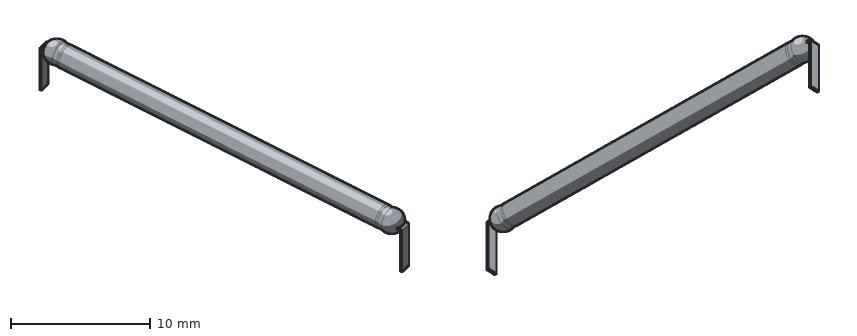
import cadquery as cq
import math

OVERALL_LENGTH = 32.0
OVERALL_HEIGHT = 5.15

TUBE_RADIUS = 1.85 / 2
BALL_RADIUS = 1.95 / 2
BALL_TIP_X = 15.75
WAIST_RADIUS = 0.9
SHOULDER_RADIUS = 1.28
TUBE_HALF_LENGTH = 13.95

STRIP_WIDTH = 0.85
STRIP_THICKNESS = 0.2
BEND_OUTER_RADIUS = STRIP_THICKNESS

LEAD_END_Z = BALL_RADIUS - OVERALL_HEIGHT


def make_lead_strip():
    """One flat strip that runs through the lamp and is bent down at both ends."""
    outer_x = OVERALL_LENGTH / 2
    inner_x = outer_x - STRIP_THICKNESS
    top_z = STRIP_THICKNESS / 2
    height = top_z - LEAD_END_Z
    inner_height = height - STRIP_THICKNESS

    def block(half_length, block_height):
        return (
            cq.Workplane("XY", origin=(0, 0, LEAD_END_Z))
            .box(2 * half_length, STRIP_WIDTH, block_height, centered=(True, True, False))
        )

    outside = block(outer_x, height).edges("|Y and >Z").fillet(BEND_OUTER_RADIUS)
    inside = block(inner_x, inner_height)
    return outside.cut(inside)


def make_envelope(lead_strip):
    """Round glass rod with ball ends, slotted for the strip that passes through it."""
    ball_x = BALL_TIP_X - BALL_RADIUS
    shoulder_z = TUBE_RADIUS - SHOULDER_RADIUS

    span = math.hypot(ball_x - TUBE_HALF_LENGTH, shoulder_z)
    to_ball = BALL_RADIUS + WAIST_RADIUS
    to_shoulder = SHOULDER_RADIUS + WAIST_RADIUS
    angle_at_ball = math.acos((to_ball**2 + span**2 - to_shoulder**2) / (2 * to_ball * span))
    shoulder_bearing = math.pi + math.atan2(-shoulder_z, ball_x - TUBE_HALF_LENGTH)
    waist_direction = shoulder_bearing - angle_at_ball
    waist_x = ball_x + to_ball * math.cos(waist_direction)
    waist_z = to_ball * math.sin(waist_direction)
    shoulder_direction = math.atan2(waist_z - shoulder_z, waist_x - TUBE_HALF_LENGTH)

    def on_ball(angle):
        return (ball_x + BALL_RADIUS * math.cos(angle), BALL_RADIUS * math.sin(angle))

    def on_shoulder(angle):
        return (
            TUBE_HALF_LENGTH + SHOULDER_RADIUS * math.cos(angle),
            shoulder_z + SHOULDER_RADIUS * math.sin(angle),
        )

    def mirrored(point):
        return (-point[0], point[1])

    shoulder_middle = on_shoulder((shoulder_direction + math.pi / 2) / 2)
    shoulder_end = on_shoulder(shoulder_direction)
    waist_middle = (waist_x, waist_z - WAIST_RADIUS)
    ball_start = on_ball(waist_direction)
    ball_middle = on_ball(waist_direction / 2)

    profile = (
        cq.Workplane("XZ")
        .moveTo(-BALL_TIP_X, 0)
        .threePointArc(mirrored(ball_middle), mirrored(ball_start))
        .threePointArc(mirrored(waist_middle), mirrored(shoulder_end))
        .threePointArc(mirrored(shoulder_middle), (-TUBE_HALF_LENGTH, TUBE_RADIUS))
        .lineTo(TUBE_HALF_LENGTH, TUBE_RADIUS)
        .threePointArc(shoulder_middle, shoulder_end)
        .threePointArc(waist_middle, ball_start)
        .threePointArc(ball_middle, (BALL_TIP_X, 0))
        .close()
    )
    rod = profile.revolve(360, (0, 0, 0), (1, 0, 0))
    return rod.cut(lead_strip)


lead_strip = make_lead_strip()
envelope = make_envelope(lead_strip)

result = cq.Compound.makeCompound([envelope.val(), lead_strip.val()])